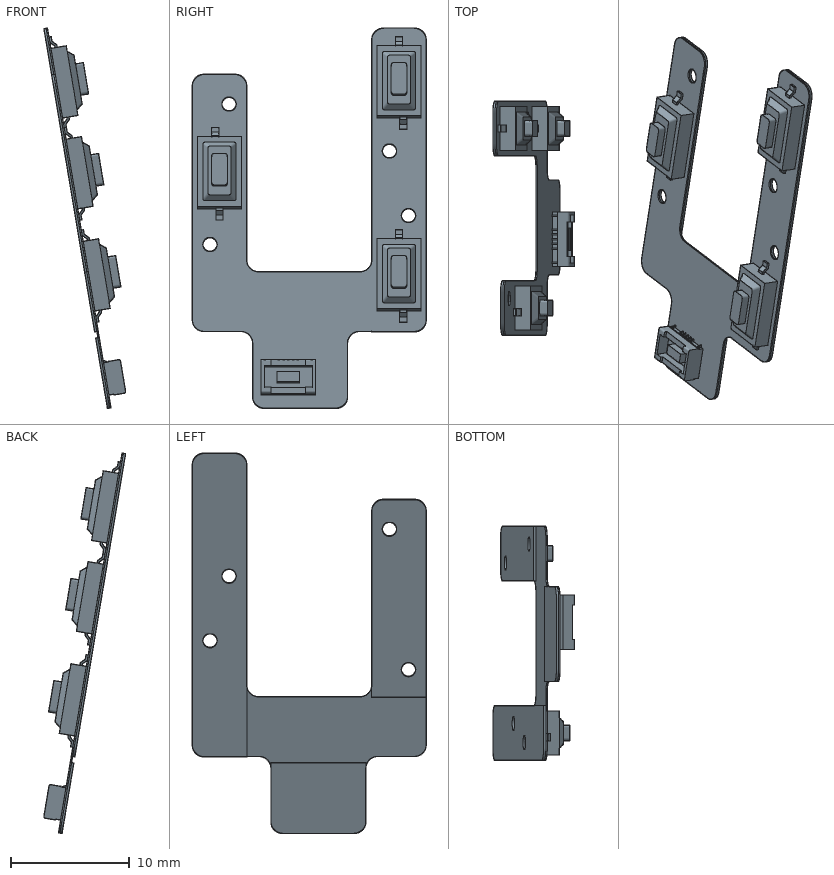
import cadquery as cq
import math


TILT = 9.5

PLATE_THICKNESS = 0.2
FLEX_THICKNESS = 0.13
MOUNT_X = PLATE_THICKNESS + FLEX_THICKNESS

CORNER_RADIUS = 1.0
HALF_WIDTH = 9.84
ARM_WIDTH = 4.592
ARM_Y = HALF_WIDTH - ARM_WIDTH / 2
BASE_BOTTOM = 6.53
BASE_TOP = 11.6
LEFT_ARM_TOP = 32.4
RIGHT_ARM_TOP = 28.45
TAB_WIDTH = 8.0
TAB_Y = -0.77
TAB_PLATE_TOP = 6.0

HOLE_DIAMETER = 1.2
HOLE_OFFSET = 0.8
HOLES = [
    (ARM_Y - HOLE_OFFSET, 21.92),
    (ARM_Y + HOLE_OFFSET, 16.4),
    (-ARM_Y + HOLE_OFFSET, 25.92),
    (-ARM_Y - HOLE_OFFSET, 13.95),
]

SWITCH_WIDTH = 3.7
SWITCH_LENGTH = 5.95
SWITCH_HEIGHT = 1.3
DOME_WIDTH = 2.8
DOME_LENGTH = 5.0
DOME_HEIGHT = 0.5
DOME_INSET = 0.4
DOME_CORNER = 0.2
BUTTON_WIDTH = 1.3
BUTTON_LENGTH = 2.7
BUTTON_HEIGHT = 0.67
BUTTON_CORNER = 0.22
LEAD_WIDTH = 0.6
LEAD_THICKNESS = 0.2
LEAD_REACH = 0.95
LEAD_FOOT = 0.48
LEAD_STUB = 0.13
LEAD_RISE = 0.35
LOWER_LEAD_OFFSET = 0.35
SWITCHES = [
    (ARM_Y, 27.68, 0),
    (ARM_Y, 11.23, 0),
    (-ARM_Y, 19.95, 180),
]

CONNECTOR_Y = -1.75
CONNECTOR_Z = 2.45
CONNECTOR_WIDTH = 4.6
CONNECTOR_LENGTH = 2.88
CONNECTOR_HEIGHT = 1.45
CONNECTOR_EDGE = 0.15
FOOT_HEIGHT = 0.4
FOOT_SETBACK = 0.05
MOUTH_WIDTH = 4.03
MOUTH_WALL = 0.5
MOUTH_DEPTH = 0.95
NOTCH_WIDTH = 2.88
NOTCH_DEPTH = 0.208
TONGUE_WIDTH = 1.92
TONGUE_LENGTH = 0.83
HEEL_REACH = 0.22
HEEL_WIDTH = 0.13
CONTACT_PITCH = 0.4
CONTACT_COUNT = 5
ANCHOR_OFFSET = 2.0


def block(x_min, x_max, y_mid, width, z_min, z_max):
    """Box between two X and two Z levels, centred on y_mid."""
    return (
        cq.Workplane("XY")
        .box(x_max - x_min, width, z_max - z_min, centered=(False, True, False))
        .translate((x_min, y_mid, z_min))
    )


def drill_arms(sheet):
    """Cut the arm holes that fall within a sheet."""
    drills = cq.Workplane("YZ").pushPoints(HOLES).circle(HOLE_DIAMETER / 2).extrude(MOUNT_X)
    return sheet.cut(drills)


def make_flex():
    def strip(y_mid, width, z_min, z_max):
        return block(PLATE_THICKNESS, MOUNT_X, y_mid, width, z_min, z_max)

    outline = (
        strip(0, 2 * HALF_WIDTH, BASE_BOTTOM, BASE_TOP)
        .union(strip(ARM_Y, ARM_WIDTH, BASE_BOTTOM, LEFT_ARM_TOP))
        .union(strip(-ARM_Y, ARM_WIDTH, BASE_BOTTOM, RIGHT_ARM_TOP))
        .union(strip(TAB_Y, TAB_WIDTH, 0, BASE_TOP))
        .clean()
    )
    return drill_arms(outline.edges("|X").fillet(CORNER_RADIUS))


def make_plate(y_mid, width, z_min, z_max, rounded_corners):
    """Stiffener plate; rounded_corners lists the selectors of its rounded X edges."""
    plate = block(0, PLATE_THICKNESS, y_mid, width, z_min, z_max)
    for corner in rounded_corners:
        plate = plate.edges("|X").edges(corner).fillet(CORNER_RADIUS)
    return drill_arms(plate)


def make_lead(offset):
    """Bent lead at the upper end of a switch that is centred on the origin."""
    end = SWITCH_LENGTH / 2
    tip = end + LEAD_REACH
    bend = tip - LEAD_FOOT
    slope = math.atan2(LEAD_RISE, bend - end - LEAD_STUB)
    miter = LEAD_THICKNESS * math.tan(slope / 2)
    return (
        cq.Workplane("XZ")
        .moveTo(0, tip)
        .lineTo(0, bend)
        .lineTo(LEAD_RISE, end + LEAD_STUB)
        .lineTo(LEAD_RISE, end)
        .lineTo(LEAD_RISE + LEAD_THICKNESS, end)
        .lineTo(LEAD_RISE + LEAD_THICKNESS, end + LEAD_STUB + miter)
        .lineTo(LEAD_THICKNESS, bend + miter)
        .lineTo(LEAD_THICKNESS, tip)
        .close()
        .extrude(LEAD_WIDTH / 2, both=True)
        .translate((0, offset, 0))
    )


def make_dome():
    """Tapered frustum with rounded corners on top of the switch body."""
    def section(inset):
        outline = cq.Sketch().rect(DOME_WIDTH - 2 * inset, DOME_LENGTH - 2 * inset)
        return outline.vertices().fillet(DOME_CORNER).reset()

    return (
        cq.Workplane("YZ", origin=(SWITCH_HEIGHT, 0, 0))
        .placeSketch(section(0), section(DOME_INSET).moved(cq.Location(cq.Vector(0, 0, DOME_HEIGHT))))
        .loft()
    )


def make_switch(y_mid, z_mid, turn):
    body = block(0, SWITCH_HEIGHT, 0, SWITCH_WIDTH, -SWITCH_LENGTH / 2, SWITCH_LENGTH / 2)
    button_base = SWITCH_HEIGHT + DOME_HEIGHT
    button = block(
        button_base, button_base + BUTTON_HEIGHT, 0, BUTTON_WIDTH, -BUTTON_LENGTH / 2, BUTTON_LENGTH / 2
    ).edges("|X").fillet(BUTTON_CORNER)
    upper_lead = make_lead(0)
    lower_lead = make_lead(-LOWER_LEAD_OFFSET).rotate((0, 0, 0), (1, 0, 0), 180)
    switch = body.union(make_dome()).union(button).union(upper_lead).union(lower_lead)
    return switch.rotate((0, 0, 0), (1, 0, 0), turn).translate((MOUNT_X, y_mid, z_mid))


def make_connector():
    half_length = CONNECTOR_LENGTH / 2
    height = CONNECTOR_HEIGHT
    foot_end = half_length - FOOT_SETBACK
    head = block(FOOT_HEIGHT, height, 0, CONNECTOR_WIDTH, -half_length, half_length)
    foot = block(0, FOOT_HEIGHT, 0, CONNECTOR_WIDTH, -foot_end, foot_end)
    housing = head.edges(">X and |Y").fillet(CONNECTOR_EDGE).union(foot)

    mouth_half = half_length - MOUTH_WALL
    mouth = block(height - MOUTH_DEPTH, height, 0, MOUTH_WIDTH, -mouth_half, mouth_half)
    tongue = block(
        height - MOUTH_DEPTH, height - NOTCH_DEPTH, 0, TONGUE_WIDTH, -TONGUE_LENGTH / 2, TONGUE_LENGTH / 2
    )
    notch = block(height - NOTCH_DEPTH, height, 0, NOTCH_WIDTH, -half_length, half_length)
    connector = housing.cut(mouth).cut(notch).union(tongue)

    first_contact = -CONTACT_PITCH * (CONTACT_COUNT - 1) / 2
    heel_places = [first_contact + i * CONTACT_PITCH for i in range(CONTACT_COUNT)]
    heel_places += [-ANCHOR_OFFSET, ANCHOR_OFFSET]
    heel = (
        cq.Workplane("XZ")
        .moveTo(0, foot_end)
        .lineTo(FOOT_HEIGHT, foot_end)
        .lineTo(0, foot_end + HEEL_REACH)
        .close()
        .extrude(HEEL_WIDTH / 2, both=True)
    )
    for place in heel_places:
        connector = connector.union(heel.translate((0, place, 0)))
    return connector.translate((MOUNT_X, CONNECTOR_Y, CONNECTOR_Z))


flex = make_flex()
left_plate = make_plate(ARM_Y, ARM_WIDTH, BASE_BOTTOM, LEFT_ARM_TOP, [">Z", ">Y and <Z"])
right_plate = make_plate(-ARM_Y, ARM_WIDTH, BASE_TOP, RIGHT_ARM_TOP, [">Z"])
tab_plate = make_plate(TAB_Y, TAB_WIDTH, 0, TAB_PLATE_TOP, ["<Z"])
switches = [make_switch(*place) for place in SWITCHES]
connector = make_connector()

upright = [flex, left_plate, right_plate, tab_plate, *switches, connector]
tilted = [body.rotate((0, 0, 0), (0, 1, 0), -TILT) for body in upright]
result = cq.Compound.makeCompound([body.val() for body in tilted])